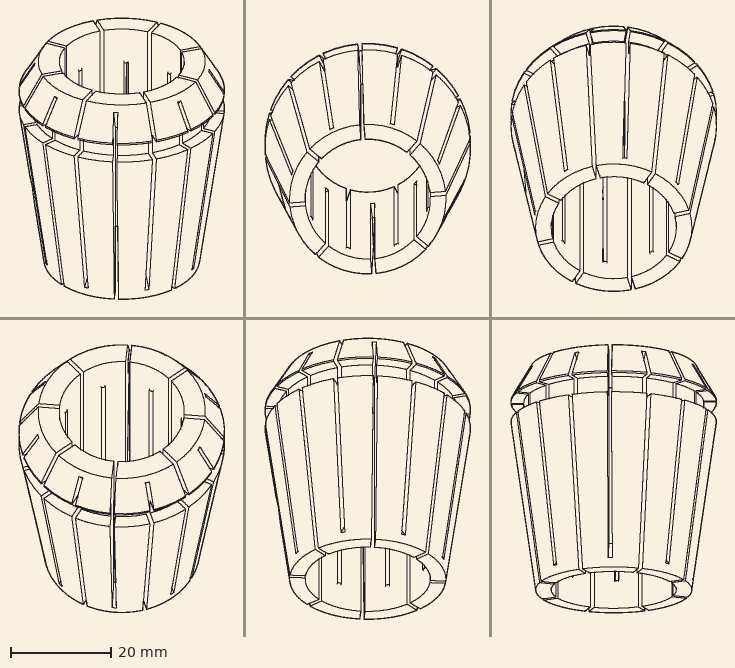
import cadquery as cq
import math

length = 46.0
rim_radius = 41.0 / 2
bore_radius = 12.45
nose_radius = 16.65
groove_radius = 17.95
groove_top = length - 7.0
groove_bottom = length - 11.0
rim_height = 0.35
body_taper = 8.0
foot_radius = rim_radius - groove_bottom * math.tan(math.radians(body_taper))

slots_per_end = 8
slot_pitch = 360.0 / slots_per_end
slot_width = 0.85
slot_overshoot = 2.3

top_slot_floor_outer = 1.9
top_slot_floor_inner = 5.8
bottom_slot_roof_outer = 44.65
bottom_slot_roof_inner = 38.15


def collet_blank():
    profile = [
        (bore_radius, 0),
        (foot_radius, 0),
        (rim_radius, groove_bottom),
        (groove_radius, groove_bottom),
        (groove_radius, groove_top),
        (rim_radius, groove_top),
        (rim_radius, groove_top + rim_height),
        (nose_radius, length),
        (bore_radius, length),
    ]
    return cq.Workplane("XZ").polyline(profile).close().revolve(360, (0, 0, 0), (0, 1, 0))


def cone_radius(height):
    """Outer radius at a height on the body taper or on the nose cone."""
    if height <= groove_bottom:
        return foot_radius + height * math.tan(math.radians(body_taper))
    cone_height = length - groove_top - rim_height
    return nose_radius + (length - height) * (rim_radius - nose_radius) / cone_height


def slot_cutter(floor_outer, floor_inner, open_end):
    """Radial blade along +X, from its sloping floor out past the open end."""
    outer_radius = cone_radius(floor_outer)
    slope = (floor_outer - floor_inner) / (outer_radius - bore_radius)
    start_radius = bore_radius - slot_overshoot
    end_radius = rim_radius + slot_overshoot
    outline = [
        (start_radius, floor_inner - slope * slot_overshoot),
        (end_radius, floor_outer + slope * (end_radius - outer_radius)),
        (end_radius, open_end),
        (start_radius, open_end),
    ]
    return cq.Workplane("XZ").polyline(outline).close().extrude(slot_width / 2, both=True)


top_slot = slot_cutter(top_slot_floor_outer, top_slot_floor_inner, length + slot_overshoot)
bottom_slot = slot_cutter(bottom_slot_roof_outer, bottom_slot_roof_inner, -slot_overshoot)

result = collet_blank()
for index in range(slots_per_end):
    top_angle = index * slot_pitch
    bottom_angle = top_angle + slot_pitch / 2
    result = result.cut(top_slot.rotate((0, 0, 0), (0, 0, 1), top_angle))
    result = result.cut(bottom_slot.rotate((0, 0, 0), (0, 0, 1), bottom_angle))